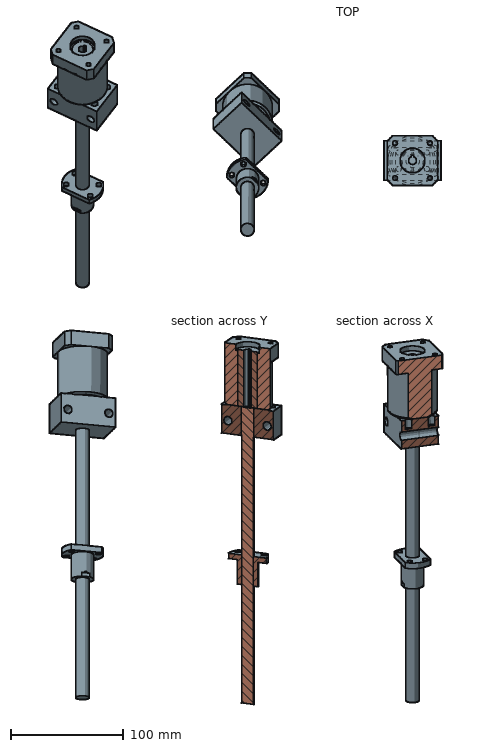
import cadquery as cq

total_height = 334.5
block_bottom = 249.5
block_top = 276.5
nut_bottom = 110.5
nut_flange_bottom = 133.0
nut_top = 138.5

flange_side = 44.5
flange_thickness = 13.5
flange_corner_chamfer = 4.7
barrel_diameter = flange_side
barrel_chamfer = 2.0
motor_hole_pitch = 31.0
motor_hole_diameter = 4.0
motor_hole_depth = 10.0
recess_depth = 4.7

hub_collar_diameter = 22.0
hub_collar_thickness = 1.0
hub_diameter = 18.7
hub_bore_diameter = 7.0
keyway_width = 2.0
keyway_reach = 4.7

block_length = 51.0
block_width = 35.5
bolt_pitch_x = 38.0
bolt_pitch_y = 22.0
cross_hole_diameter = 7.5
cross_hole_height = 262.0
bolt_hole_diameter = 5.7
bolt_hole_depth = 8.5

screw_diameter = 12.0
nut_diameter = 20.0
nut_flange_diameter = 37.0
nut_flange_width = 24.0
nut_hole_pitch_x = 25.0
nut_hole_pitch_y = 14.7
nut_hole_diameter = 4.7
nut_flat_spacing = 18.7
nut_flat_height = 3.5
oil_hole_diameter = 1.5
oil_hole_height = nut_bottom + nut_flat_height + oil_hole_diameter / 2

recess_floor = total_height - recess_depth
hub_seat = recess_floor - hub_collar_thickness


def disc(diameter, bottom, top):
    """Upright cylinder on the drive axis."""
    return cq.Workplane("XY").workplane(offset=bottom).circle(diameter / 2).extrude(top - bottom)


def four_holes(pitch_x, pitch_y, diameter, bottom, top):
    """Upright drills on a rectangular pattern around the drive axis."""
    return (
        cq.Workplane("XY")
        .workplane(offset=bottom)
        .rect(pitch_x, pitch_y, forConstruction=True)
        .vertices()
        .circle(diameter / 2)
        .extrude(top - bottom)
    )


def make_housing():
    """Chamfered flange and barrel, with blind motor holes and a stepped bore for the hub."""
    flange_bottom = total_height - flange_thickness
    flange = (
        cq.Workplane("XY")
        .workplane(offset=flange_bottom)
        .rect(flange_side, flange_side)
        .extrude(flange_thickness)
        .edges("|Z")
        .chamfer(flange_corner_chamfer)
    )
    barrel = disc(barrel_diameter, block_top, flange_bottom).faces("<Z").chamfer(barrel_chamfer)
    motor_holes = four_holes(
        motor_hole_pitch,
        motor_hole_pitch,
        motor_hole_diameter,
        total_height - motor_hole_depth,
        total_height,
    )
    return (
        flange.union(barrel)
        .cut(motor_holes)
        .cut(disc(hub_collar_diameter, hub_seat, total_height))
        .cut(disc(hub_diameter, block_top, hub_seat))
    )


def make_hub():
    """Collared sleeve that fills the housing bore, with a keyed shaft bore."""
    collar = disc(hub_collar_diameter, hub_seat, recess_floor)
    sleeve = disc(hub_diameter, block_top, hub_seat)
    keyway = (
        cq.Workplane("XY")
        .workplane(offset=block_top)
        .center(0, keyway_reach / 2)
        .rect(keyway_width, keyway_reach)
        .extrude(recess_floor - block_top)
    )
    return collar.union(sleeve).cut(disc(hub_bore_diameter, block_top, recess_floor)).cut(keyway)


def make_block():
    """Bearing block with cross holes, blind bolt holes in its top and a bore for the screw."""
    body = (
        cq.Workplane("XY")
        .workplane(offset=block_bottom)
        .rect(block_length, block_width)
        .extrude(block_top - block_bottom)
    )
    cross_holes = (
        cq.Workplane("XZ")
        .pushPoints([(side * bolt_pitch_x / 2, cross_hole_height) for side in (-1, 1)])
        .circle(cross_hole_diameter / 2)
        .extrude(block_width, both=True)
    )
    bolt_holes = four_holes(
        bolt_pitch_x, bolt_pitch_y, bolt_hole_diameter, block_top - bolt_hole_depth, block_top
    )
    return body.cut(cross_holes).cut(bolt_holes).cut(disc(screw_diameter, block_bottom, block_top))


def make_screw():
    """Plain round rod that ends level with the top of the block."""
    return disc(screw_diameter, 0, block_top)


def make_nut():
    """Nut with a two-flatted flange on top, and two small flats and oil holes near its lower end."""
    flange_blank = (
        cq.Workplane("XY")
        .workplane(offset=nut_flange_bottom)
        .rect(nut_flange_diameter, nut_flange_width)
        .extrude(nut_top - nut_flange_bottom)
    )
    flange = disc(nut_flange_diameter, nut_flange_bottom, nut_top).intersect(flange_blank)
    sleeve = disc(nut_diameter, nut_bottom, nut_flange_bottom)
    flat_cutter = (
        cq.Workplane("XY")
        .workplane(offset=nut_bottom)
        .rect(nut_diameter, nut_diameter)
        .rect(nut_diameter, nut_flat_spacing)
        .extrude(nut_flat_height)
    )
    oil_hole = (
        cq.Workplane("XZ")
        .center(0, oil_hole_height)
        .circle(oil_hole_diameter / 2)
        .extrude(nut_diameter, both=True)
    )
    flange_holes = four_holes(
        nut_hole_pitch_x, nut_hole_pitch_y, nut_hole_diameter, nut_flange_bottom, nut_top
    )
    return (
        flange.cut(flange_holes)
        .union(sleeve.cut(flat_cutter))
        .cut(oil_hole)
        .cut(disc(screw_diameter, nut_bottom, nut_top))
    )


housing = make_housing()
hub = make_hub()
block = make_block()
screw = make_screw()
nut = make_nut()

result = cq.Compound.makeCompound([housing.val(), hub.val(), block.val(), screw.val(), nut.val()])